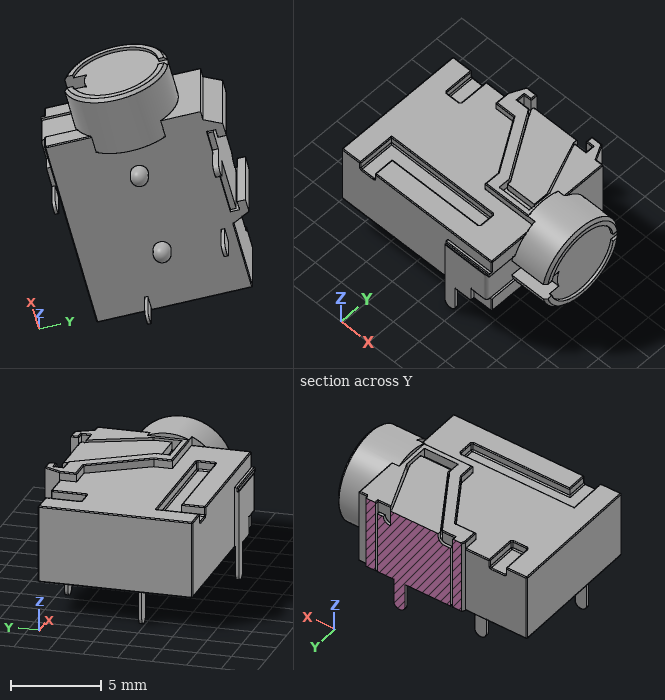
import cadquery as cq
import math

BODY_LENGTH = 11.53
BODY_WIDTH = 8.95
BODY_HEIGHT = 4.5
RAISED_TOP = 5.0
EDGE_ROUND = 0.06

COVER_LEFT = 4.22
COVER_REAR = 7.96
COVER_FRONT = 3.46
COVER_RAMP_START = 5.61
COVER_RAMP_END = (7.70, 4.53)
HOOK_TIP = 9.95
HOOK_LIP = 0.48
HOOK_TIP_WIDTH = 0.78
LEFT_HOOK_OUTER = 4.71
LEFT_HOOK_SLOT = 4.96
RIGHT_HOOK_OUTER = 10.49
RIGHT_HOOK_SLOT = 10.21
RIGHT_HOOK_ROOT = 11.00

POCKET_FLOOR = 4.4
POCKET_LEFT = 8.46
POCKET_RIGHT = 10.76
POCKET_FRONT = 3.82
POCKET_LEFT_BEND = 4.61
POCKET_RIGHT_BEND = 5.48
POCKET_MOUTH_LEFT = 5.80
POCKET_MOUTH_RIGHT = 9.34

SPRING_TOP = 4.9
SPRING_SIDE_GAP = 0.12
SPRING_FRONT = 4.35
SPRING_INNER = 8.98
SPRING_OUTER = 9.31
SPRING_BEND = 0.19
SPRING_LEFT = 5.09
SPRING_RIGHT = 10.11
EAR_TOP = 4.25
EAR_FILLET = 0.42
EAR_LENGTH = 0.42

GROOVE_FLOOR = 3.95
GROOVE_LEFT = 1.45
GROOVE_WIDTH = 1.1
GROOVE_REAR = 2.50
GROOVE_RIGHT = 9.26
REAR_GROOVE_FRONT = 6.87
GROOVE_CORNER = 0.08

SLEEVE_RADIUS = 3.0
SLEEVE_Y = 4.68
SLEEVE_Z = 2.25
SLEEVE_END = 14.0
SLEEVE_CHAMFER = 0.18
SLEEVE_TOP_START = 11.00
SLEEVE_BOTTOM_START = 10.49
CORE_RADIUS = 1.8
RECESS_RADIUS = 2.5
RECESS_DEPTH = 0.18
FRONT_SLOT_HEIGHT = 1.3
REAR_SLOT_HEIGHT = 0.6

PLATE_LEFT = 8.17
PLATE_RIGHT = 11.4
PLATE_THICKNESS = 0.25
PLATE_PIN_THICKNESS = 0.2
PLATE_TOP = 3.35
LEDGE_TOP = 3.58
LEDGE_DEPTH = 0.21
PLATE_BOTTOM = 0.07
PLATE_BEND = 0.22
PLATE_NOTCH_LEFT = 10.17
PLATE_NOTCH_TOP = 1.14

PIN_BOTTOM = -2.0
PIN_WIDTH = 0.8
PIN_EMBED = 1.0
PEG_RADIUS = 0.5
PEG_STRAIGHT = 0.5
PEG_X = (3.60, 8.60)
REAR_LEFT_PIN = (0.51, 3.065, 0.19)
MIDDLE_PIN = (3.60, 8.265, 0.21)


def box(x0, x1, y0, y1, z0, z1):
    """Box between two opposite corners."""
    return cq.Workplane("XY").box(x1 - x0, y1 - y0, z1 - z0, centered=False).translate((x0, y0, z0))


def prism(points, z0, z1):
    """Closed XY outline extruded from z0 up to z1."""
    return cq.Workplane("XY").workplane(offset=z0).polyline(points).close().extrude(z1 - z0)


def sleeve_cylinder(radius, x0, x1):
    """Cylinder on the sleeve axis, from x0 to x1."""
    plane = cq.Plane(origin=(x0, SLEEVE_Y, SLEEVE_Z), xDir=(0, 1, 0), normal=(1, 0, 0))
    return cq.Workplane(plane).circle(radius).extrude(x1 - x0)


def grooves():
    """L-shaped groove open at the side wall and short groove open at the rear wall."""
    right = GROOVE_LEFT + GROOVE_WIDTH
    outline = [
        (GROOVE_LEFT, -1),
        (right, -1),
        (right, GROOVE_REAR - GROOVE_WIDTH),
        (GROOVE_RIGHT, GROOVE_REAR - GROOVE_WIDTH),
        (GROOVE_RIGHT, GROOVE_REAR),
        (GROOVE_LEFT, GROOVE_REAR),
    ]
    side_groove = prism(outline, GROOVE_FLOOR, RAISED_TOP)
    side_groove = side_groove.edges("|Z").edges(">X").chamfer(GROOVE_CORNER)
    rear_groove = box(GROOVE_LEFT, right, REAR_GROOVE_FRONT, HOOK_TIP, GROOVE_FLOOR, RAISED_TOP)
    rear_groove = rear_groove.edges("|Z and <Y").chamfer(GROOVE_CORNER)
    side_groove = side_groove.faces("<Z").edges().chamfer(GROOVE_CORNER)
    rear_groove = rear_groove.faces("<Z").edges().chamfer(GROOVE_CORNER)
    return side_groove.union(rear_groove)


def cover():
    """Raised cover with a slanted left side, reaching down through the housing."""
    outline = [
        (COVER_LEFT, BODY_WIDTH),
        (COVER_LEFT, COVER_REAR),
        (COVER_RAMP_START, COVER_REAR),
        COVER_RAMP_END,
        (COVER_RAMP_END[0], COVER_FRONT),
        (BODY_LENGTH, COVER_FRONT),
        (BODY_LENGTH, BODY_WIDTH),
    ]
    return prism(outline, 0, RAISED_TOP)


def hook(root, outer, slot, direction):
    """Hook on the rear wall; direction is +1 when its lip points to +X."""
    lip_end = outer + direction * HOOK_TIP_WIDTH
    outline = [
        (root, BODY_WIDTH),
        (outer, HOOK_TIP),
        (lip_end, HOOK_TIP),
        (lip_end, HOOK_TIP - HOOK_LIP),
        (slot, HOOK_TIP - HOOK_LIP),
        (slot, BODY_WIDTH),
    ]
    return prism(outline, 0, RAISED_TOP)


def pocket_outline(gap, front, mouth):
    """Tapered pocket outline, moved in by gap at the sides, open at the rear wall."""
    return [
        (POCKET_MOUTH_LEFT + gap, mouth),
        (POCKET_LEFT + gap, POCKET_LEFT_BEND),
        (POCKET_LEFT + gap, front),
        (POCKET_RIGHT - gap, front),
        (POCKET_RIGHT - gap, POCKET_RIGHT_BEND - gap),
        (POCKET_MOUTH_RIGHT - gap, mouth),
    ]


def ledge():
    """Ledge on the side wall that covers the upper edge of the side plate."""
    block = box(PLATE_LEFT, BODY_LENGTH, -LEDGE_DEPTH, LEDGE_DEPTH, PLATE_TOP, LEDGE_TOP)
    return block.faces("<Y").edges(">Z or <X").chamfer(EDGE_ROUND)


def housing():
    """Housing block with its grooves, cover, hooks, ledge, pocket and corner recess."""
    body = box(0, BODY_LENGTH, 0, BODY_WIDTH, 0, BODY_HEIGHT)
    body = body.cut(grooves())
    body = body.faces("<X or >X or <Y or >Y or >Z").edges().chamfer(EDGE_ROUND)
    body = body.union(cover())
    body = body.union(hook(COVER_LEFT, LEFT_HOOK_OUTER, LEFT_HOOK_SLOT, 1))
    body = body.union(hook(RIGHT_HOOK_ROOT, RIGHT_HOOK_OUTER, RIGHT_HOOK_SLOT, -1))
    body = body.faces(">Z").edges().chamfer(EDGE_ROUND)
    body = body.union(ledge())
    body = body.cut(prism(pocket_outline(0, POCKET_FRONT, BODY_WIDTH), POCKET_FLOOR, RAISED_TOP))
    flange_recess = box(
        PLATE_RIGHT, BODY_LENGTH, 0, SLEEVE_Y, PLATE_NOTCH_TOP, PLATE_TOP
    )
    return body.cut(flange_recess)


def sleeve():
    """Plug sleeve with a recessed end face, and the parts of it that reach back into the housing."""
    tube = sleeve_cylinder(SLEEVE_RADIUS, BODY_LENGTH, SLEEVE_END)
    tube = tube.faces(">X").edges().chamfer(SLEEVE_CHAMFER)
    recess_start = SLEEVE_END - RECESS_DEPTH
    tube = tube.cut(sleeve_cylinder(RECESS_RADIUS, recess_start, SLEEVE_END))

    crown = sleeve_cylinder(SLEEVE_RADIUS, SLEEVE_TOP_START, BODY_LENGTH)
    crown = crown.intersect(
        box(SLEEVE_TOP_START, BODY_LENGTH, COVER_FRONT, HOOK_TIP, SLEEVE_Z, SLEEVE_END)
    )
    keel = sleeve_cylinder(SLEEVE_RADIUS, SLEEVE_BOTTOM_START, BODY_LENGTH)
    keel = keel.intersect(box(SLEEVE_BOTTOM_START, BODY_LENGTH, 0, HOOK_TIP, -SLEEVE_RADIUS, SLEEVE_Z))
    recess_backing = sleeve_cylinder(SLEEVE_RADIUS, PLATE_RIGHT, BODY_LENGTH)
    recess_backing = recess_backing.intersect(
        box(PLATE_RIGHT, BODY_LENGTH, 0, SLEEVE_Y, PLATE_NOTCH_TOP, PLATE_TOP)
    )
    return tube.union(crown).union(keel).union(recess_backing)


def sleeve_slots():
    """Full-length slot in the near side of the shell and a shallow one in the far side."""
    half_front = FRONT_SLOT_HEIGHT / 2
    half_rear = REAR_SLOT_HEIGHT / 2
    near = box(PLATE_RIGHT, SLEEVE_END, 0, SLEEVE_Y, SLEEVE_Z - half_front, SLEEVE_Z + half_front)
    near = near.cut(sleeve_cylinder(CORE_RADIUS, PLATE_RIGHT, SLEEVE_END))
    far = box(
        SLEEVE_END - RECESS_DEPTH, SLEEVE_END, SLEEVE_Y, HOOK_TIP, SLEEVE_Z - half_rear, SLEEVE_Z + half_rear
    )
    return near.union(far)


def pin(x, y, thickness, top):
    """Flat pin with a round tip, centred at (x, y) and reaching up to top."""
    half = PIN_WIDTH / 2
    tip_start = PIN_BOTTOM + half
    profile = (
        cq.Workplane("XZ", origin=(x, y + thickness / 2, 0))
        .moveTo(-half, top)
        .lineTo(-half, tip_start)
        .threePointArc((0, PIN_BOTTOM), (half, tip_start))
        .lineTo(half, top)
        .close()
    )
    return profile.extrude(thickness)


def spring_ear(start, curve_end, end):
    """Vertical sheet from start to end whose top edge climbs in a hollow curve up to curve_end."""
    left_level = EAR_TOP if end == curve_end else EAR_TOP - EAR_FILLET
    curve_start = curve_end - EAR_FILLET
    right_level = left_level + EAR_FILLET
    profile = (
        cq.Workplane("XZ", origin=(0, SPRING_OUTER, 0))
        .moveTo(start, 0)
        .lineTo(start, left_level)
        .lineTo(curve_start, left_level)
        .radiusArc((curve_end, right_level), -EAR_FILLET)
    )
    if end > curve_end:
        profile = profile.lineTo(end, right_level)
    return profile.lineTo(end, 0).close().extrude(SPRING_OUTER - SPRING_INNER)


def spring():
    """Contact spring: tongue in the pocket, bent down over the rear wall, with two ears and a pin."""
    left = POCKET_MOUTH_LEFT + SPRING_SIDE_GAP
    right = POCKET_MOUTH_RIGHT - SPRING_SIDE_GAP
    apron = box(left, right, SPRING_INNER, SPRING_OUTER, 0, SPRING_TOP)
    apron = apron.edges(">Y and >Z").fillet(SPRING_BEND)
    tongue = prism(pocket_outline(SPRING_SIDE_GAP, SPRING_FRONT, SPRING_INNER), POCKET_FLOOR, SPRING_TOP)
    thickness = SPRING_OUTER - SPRING_INNER
    spring_pin = pin(PEG_X[1], SPRING_INNER + thickness / 2, thickness, EAR_TOP - EAR_FILLET)
    left_ear = spring_ear(SPRING_LEFT, left, left)
    right_ear = spring_ear(right, SPRING_RIGHT - EAR_LENGTH, SPRING_RIGHT)
    return tongue.union(apron).union(left_ear).union(right_ear).union(spring_pin)


def side_plate():
    """Side plate with a rounded front corner and a thinner pin flush with its outer face."""
    plate = box(PLATE_LEFT, PLATE_RIGHT, -PLATE_THICKNESS, PLATE_BEND, PLATE_BOTTOM, PLATE_TOP)
    plate = plate.edges("|Z and >X and <Y").fillet(PLATE_BEND)
    notch = box(PLATE_NOTCH_LEFT, BODY_LENGTH, -PLATE_THICKNESS, 0, 0, PLATE_NOTCH_TOP)
    pin_y = PLATE_PIN_THICKNESS / 2 - PLATE_THICKNESS
    plate_pin = pin(PLATE_LEFT + PIN_WIDTH / 2, pin_y, PLATE_PIN_THICKNESS, PIN_EMBED)
    return plate.cut(notch).union(plate_pin)


def peg(x):
    """Round locating peg with a domed end."""
    shank = cq.Workplane("XY").circle(PEG_RADIUS).extrude(-PEG_STRAIGHT)
    dome = cq.Workplane("XY").sphere(PEG_RADIUS).translate((0, 0, -PEG_STRAIGHT))
    return shank.union(dome).translate((x, SLEEVE_Y, 0))


result = housing().union(sleeve()).cut(sleeve_slots()).union(spring()).union(side_plate())
for peg_x in PEG_X:
    result = result.union(peg(peg_x))
for pin_x, pin_y, pin_thickness in (REAR_LEFT_PIN, MIDDLE_PIN):
    result = result.union(pin(pin_x, pin_y, pin_thickness, PIN_EMBED))